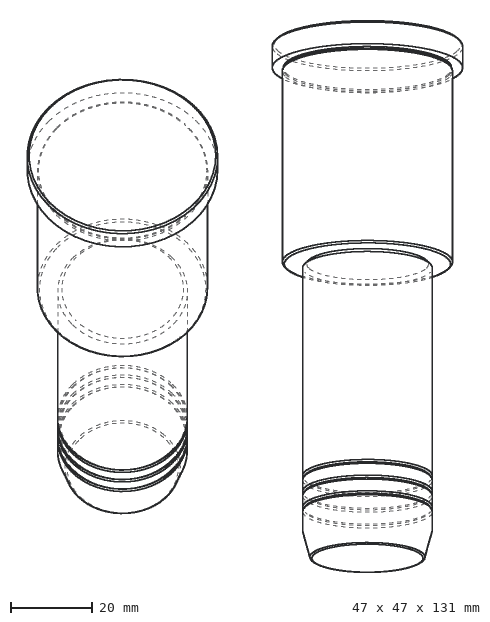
import cadquery as cq
import math

total_length = 131.0
head_height = 6.0
body_length = 50.0
lead_height = 7.0

head_diameter = 47.0
body_diameter = 42.0
shank_diameter = 32.0

head_chamfer = 0.5
body_chamfer = 0.5
shank_chamfer = 1.0
tip_chamfer_width = 0.5
tip_chamfer_height = 0.3
lead_angle = 15.0

relief_width = 0.8
relief_floor_width = 0.4
relief_depth = 0.25

groove_count = 3
groove_width = 1.0
groove_depth = 0.4
groove_pitch = 4.0
lowest_groove_z = 12.0

head_radius = head_diameter / 2
body_radius = body_diameter / 2
shank_radius = shank_diameter / 2
head_bottom_z = total_length - head_height
body_bottom_z = head_bottom_z - body_length
lead_slope = math.tan(math.radians(lead_angle))


def groove_points(bottom_z):
    """V-shaped section of one ring groove in the shank, listed upwards."""
    root_radius = shank_radius - groove_depth
    return [
        (shank_radius, bottom_z),
        (root_radius, bottom_z + groove_width / 2),
        (shank_radius, bottom_z + groove_width),
    ]


def lead_points():
    """Flat tip, its chamfer and the conical lead-in."""
    chamfer_radius = shank_radius - (lead_height - tip_chamfer_height) * lead_slope
    return [
        (0, 0),
        (chamfer_radius - tip_chamfer_width, 0),
        (chamfer_radius, tip_chamfer_height),
        (shank_radius, lead_height),
    ]


def shank_points():
    """Ring grooves, then the chamfer at the root of the shank."""
    points = []
    for i in range(groove_count):
        points += groove_points(lowest_groove_z + i * groove_pitch)
    points.append((shank_radius, body_bottom_z - shank_chamfer))
    points.append((shank_radius - shank_chamfer, body_bottom_z))
    return points


def body_points():
    """Chamfered body with the relief groove below the head."""
    relief_radius = body_radius - relief_depth
    return [
        (body_radius - body_chamfer, body_bottom_z),
        (body_radius, body_bottom_z + body_chamfer),
        (body_radius, head_bottom_z - relief_width),
        (relief_radius, head_bottom_z - relief_floor_width),
        (relief_radius, head_bottom_z),
    ]


def head_points():
    """Head with a chamfered top edge."""
    return [
        (head_radius, head_bottom_z),
        (head_radius, total_length - head_chamfer),
        (head_radius - head_chamfer, total_length),
        (0, total_length),
    ]


half_section = lead_points() + shank_points() + body_points() + head_points()
outline = [(-radius, z) for radius, z in half_section]
result = cq.Workplane("XZ").polyline(outline).close().revolve(360, (0, 0, 0), (0, 1, 0))